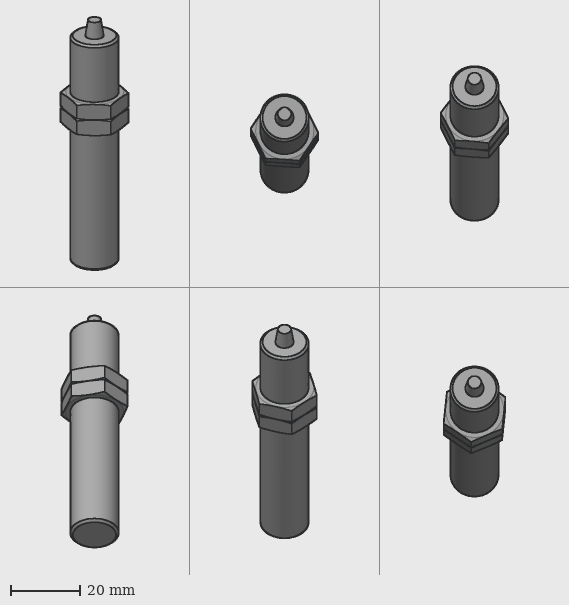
import cadquery as cq
import math

TOTAL_HEIGHT = 77.0
TIP_HEIGHT = 5.0
BARREL_HEIGHT = TOTAL_HEIGHT - TIP_HEIGHT

BARREL_DIAMETER = 14.0
TOP_BEVEL = 0.7
BOTTOM_BEVEL = 0.8
TIP_BASE_DIAMETER = 5.3
TIP_END_DIAMETER = 3.85

NUT_COUNT = 2
NUT_ACROSS_FLATS = 17.0
NUT_ACROSS_CORNERS = NUT_ACROSS_FLATS / math.cos(math.radians(30))
NUT_HEIGHT = 5.0
NUT_STACK_BOTTOM = 44.0
NUT_FACE_DIAMETER = 16.8
NUT_BEVEL_ANGLE = 15.0


def make_sensor_body():
    """Barrel with bevelled ends and a tapered tip, turned about Z."""
    barrel_radius = BARREL_DIAMETER / 2
    return (
        cq.Workplane("XZ")
        .moveTo(0, 0)
        .lineTo(barrel_radius - BOTTOM_BEVEL, 0)
        .lineTo(barrel_radius, BOTTOM_BEVEL)
        .lineTo(barrel_radius, BARREL_HEIGHT - TOP_BEVEL)
        .lineTo(barrel_radius - TOP_BEVEL, BARREL_HEIGHT)
        .lineTo(TIP_BASE_DIAMETER / 2, BARREL_HEIGHT)
        .lineTo(TIP_END_DIAMETER / 2, TOTAL_HEIGHT)
        .lineTo(0, TOTAL_HEIGHT)
        .close()
        .revolve(360, (0, 0, 0), (0, 1, 0))
    )


def make_nut(bottom_z):
    """Hexagonal nut with conically bevelled corners, fitted around the barrel."""
    face_radius = NUT_FACE_DIAMETER / 2
    corner_radius = NUT_ACROSS_CORNERS / 2
    bevel_drop = (corner_radius - face_radius) * math.tan(math.radians(NUT_BEVEL_ANGLE))
    hexagon = cq.Workplane("XY").polygon(6, NUT_ACROSS_CORNERS).extrude(NUT_HEIGHT)
    bevel_envelope = (
        cq.Workplane("XZ")
        .moveTo(0, 0)
        .lineTo(face_radius, 0)
        .lineTo(corner_radius, bevel_drop)
        .lineTo(corner_radius, NUT_HEIGHT - bevel_drop)
        .lineTo(face_radius, NUT_HEIGHT)
        .lineTo(0, NUT_HEIGHT)
        .close()
        .revolve(360, (0, 0, 0), (0, 1, 0))
    )
    bore = cq.Workplane("XY").circle(BARREL_DIAMETER / 2).extrude(NUT_HEIGHT)
    return hexagon.intersect(bevel_envelope).cut(bore).translate((0, 0, bottom_z))


sensor_body = make_sensor_body()
nuts = [make_nut(NUT_STACK_BOTTOM + i * NUT_HEIGHT) for i in range(NUT_COUNT)]

result = cq.Compound.makeCompound([sensor_body.val(), *[nut.solids().val() for nut in nuts]])